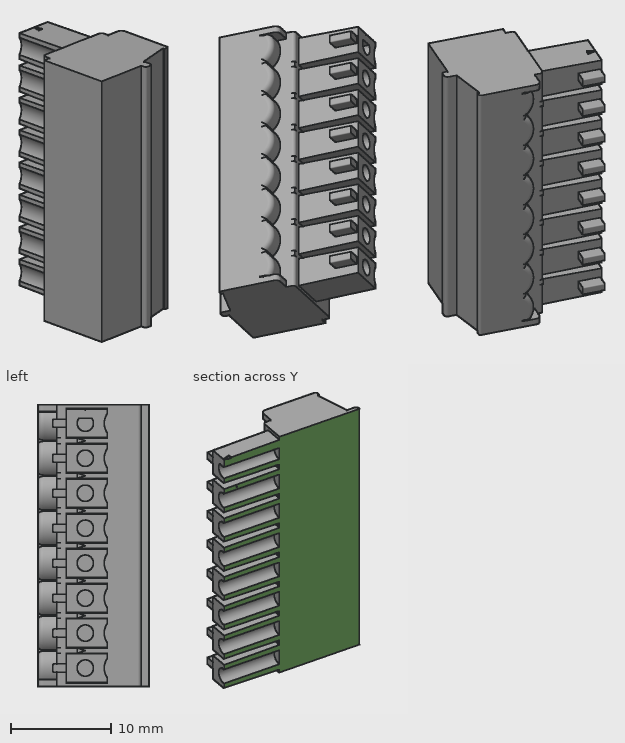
import cadquery as cq
import math

HEIGHT = 28.2
DEPTH = 11.1
FACE_X = 6.57
SHOULDER_X = 7.5
BACK_X = 15.48
LEDGE_X = 16.1
LEDGE_LOW_Y = 5.7
LEDGE_HIGH_Y = 6.68
SLOPE_START_X = 14.9
SLOPE_END_X = 13.87
HOOK_X = 14.07
HOOK_Y = 10.52
STEP_LOW_Y = 0.8
STEP_HIGH_Y = 9.22
FACE_EDGE_RADIUS = 0.35
LEDGE_HIGH_RADIUS = 0.37
LEDGE_LOW_RADIUS = 0.25
HOOK_RADIUS = 0.23
CREST_RADIUS = 0.54

POLE_COUNT = 8
PITCH = 3.5
POLE_CENTERS = [HEIGHT / 2 + (i - (POLE_COUNT - 1) / 2) * PITCH for i in range(POLE_COUNT)]
GAP_CENTERS = [z + PITCH / 2 for z in POLE_CENTERS[:-1]]
GAP_WIDTH = 0.55

END_WALL = 0.68
END_GAP = 0.08
HUMP_SETBACK = 0.65
HUMP_RADIUS = 2.12
HUMP_WIDTH = 3.35
HUMP_X = SHOULDER_X + HUMP_SETBACK
HUMP_AXIS_X = HUMP_X + HUMP_RADIUS
FLOOR_X = HUMP_AXIS_X - math.sqrt(HUMP_RADIUS**2 - (HUMP_WIDTH / 2) ** 2)

PLUG_LOW_Y = 4.2
PLUG_HIGH_Y = 8.3
PLUG_TIP_HEIGHT = 2.82
PLUG_ROOT_HEIGHT = 3.0
GROOVE_WIDTH = 1.85
GROOVE_DEPTH = 0.28
BORE_DIAMETER = 1.64
BORE_Y = 6.37
BORE_DEPTH = FACE_X
BORE_FLAT = 0.48

RIB_START_X = 0.17
RIB_END_X = 2.5
RIB_HIGH_Y = 9.62
RIB_WIDTH = 0.82
RIB_EDGE_RADIUS = 0.1

MARK_LENGTH = 0.8
MARK_WIDTH = 0.5
MARK_DEPTH = 0.08
MARK_TIP_X = 0.05


def box(x0, x1, y0, y1, z0, z1):
    return cq.Workplane("XY").box(x1 - x0, y1 - y0, z1 - z0, centered=False).translate((x0, y0, z0))


def fillet_edge_at(body, x, y, radius):
    """Round the full-height edge that stands at (x, y)."""
    return body.edges(cq.selectors.NearestToPointSelector((x, y, HEIGHT / 2))).fillet(radius)


def make_housing():
    outline = [
        (SHOULDER_X, 0),
        (BACK_X, 0),
        (BACK_X, LEDGE_LOW_Y),
        (LEDGE_X, LEDGE_LOW_Y),
        (LEDGE_X, LEDGE_HIGH_Y),
        (SLOPE_START_X, LEDGE_HIGH_Y),
        (SLOPE_END_X, HOOK_Y),
        (HOOK_X, HOOK_Y),
        (HOOK_X, DEPTH),
        (SHOULDER_X, DEPTH),
        (SHOULDER_X, STEP_HIGH_Y),
        (FACE_X, STEP_HIGH_Y),
        (FACE_X, STEP_LOW_Y),
        (SHOULDER_X, STEP_LOW_Y),
    ]
    body = cq.Workplane("XY").polyline(outline).close().extrude(HEIGHT)
    rounded_edges = [
        (FACE_X, STEP_LOW_Y, FACE_EDGE_RADIUS),
        (FACE_X, STEP_HIGH_Y, FACE_EDGE_RADIUS),
        (LEDGE_X, LEDGE_LOW_Y, LEDGE_LOW_RADIUS),
        (LEDGE_X, LEDGE_HIGH_Y, LEDGE_HIGH_RADIUS),
        (HOOK_X, DEPTH, HOOK_RADIUS),
        (SHOULDER_X, DEPTH, CREST_RADIUS),
    ]
    for x, y, radius in rounded_edges:
        body = fillet_edge_at(body, x, y, radius)
    for z in GAP_CENTERS:
        low_y = STEP_HIGH_Y - FACE_EDGE_RADIUS
        body = body.union(box(FACE_X, SHOULDER_X, low_y, STEP_HIGH_Y, z - GAP_WIDTH / 2, z + GAP_WIDTH / 2))
    return body


def make_hump_recess():
    """Space between the end walls, in front of the floor and its rounded +Y edge."""
    inner_low = END_WALL
    inner_high = HEIGHT - END_WALL
    recess = box(SHOULDER_X, FLOOR_X + CREST_RADIUS, STEP_HIGH_Y, DEPTH, inner_low, inner_high)
    floor = box(FLOOR_X, HOOK_X, STEP_HIGH_Y, DEPTH, inner_low, inner_high)
    floor = floor.edges("|Z and <X and >Y").fillet(CREST_RADIUS)
    return recess.cut(floor)


def make_hump(z):
    hump = (
        cq.Workplane("XZ", origin=(HUMP_AXIS_X, STEP_HIGH_Y, z))
        .circle(HUMP_RADIUS)
        .extrude(STEP_HIGH_Y - DEPTH)
        .faces(">Y")
        .edges()
        .fillet(CREST_RADIUS)
    )
    end_margin = END_WALL + END_GAP
    low = max(z - HUMP_WIDTH / 2, end_margin)
    high = min(z + HUMP_WIDTH / 2, HEIGHT - end_margin)
    return hump.intersect(box(HUMP_X, HUMP_AXIS_X, STEP_HIGH_Y, DEPTH, low, high))


def make_plug(z):
    middle_y = (PLUG_LOW_Y + PLUG_HIGH_Y) / 2
    width = PLUG_HIGH_Y - PLUG_LOW_Y
    plug = (
        cq.Workplane("YZ", origin=(0, middle_y, z))
        .rect(width, PLUG_TIP_HEIGHT)
        .workplane(offset=FACE_X)
        .rect(width, PLUG_ROOT_HEIGHT)
        .loft(ruled=True)
    )
    groove = (
        cq.Workplane("YZ", origin=(0, PLUG_LOW_Y, z))
        .moveTo(0, -GROOVE_WIDTH / 2)
        .threePointArc((GROOVE_DEPTH, 0), (0, GROOVE_WIDTH / 2))
        .close()
        .extrude(FACE_X)
    )
    rib = box(RIB_START_X, RIB_END_X, PLUG_HIGH_Y, RIB_HIGH_Y, z - RIB_WIDTH / 2, z + RIB_WIDTH / 2)
    rib = rib.edges("|X and >Y").fillet(RIB_EDGE_RADIUS)
    return plug.cut(groove).union(rib)


def make_bore(z):
    return cq.Workplane("YZ", origin=(0, BORE_Y, z)).circle(BORE_DIAMETER / 2).extrude(BORE_DEPTH)


def make_top_bore(z):
    """Bore of the uppermost pole, flattened on its upper side."""
    radius = BORE_DIAMETER / 2
    keep = box(0, BORE_DEPTH, BORE_Y - radius, BORE_Y + radius, z - radius, z + BORE_FLAT)
    return make_bore(z).intersect(keep)


def make_face_mark(z):
    """Triangle in the plug face, pointing toward -Y at the level of the bores."""
    base_y = BORE_Y + MARK_LENGTH
    corners = [(BORE_Y, z), (base_y, z - MARK_WIDTH / 2), (base_y, z + MARK_WIDTH / 2)]
    return cq.Workplane("YZ", origin=(FACE_X, 0, 0)).polyline(corners).close().extrude(MARK_DEPTH)


def make_plug_mark():
    """Triangle in the upper side of the uppermost plug, pointing toward its tip."""
    base_x = MARK_TIP_X + MARK_LENGTH
    tip_top = POLE_CENTERS[-1] + PLUG_TIP_HEIGHT / 2
    corners = [(MARK_TIP_X, BORE_Y), (base_x, BORE_Y - MARK_WIDTH / 2), (base_x, BORE_Y + MARK_WIDTH / 2)]
    blank = cq.Workplane("XY", origin=(0, 0, tip_top - MARK_DEPTH)).polyline(corners).close()
    return blank.extrude(PLUG_ROOT_HEIGHT - PLUG_TIP_HEIGHT + MARK_DEPTH)


result = make_housing().cut(make_hump_recess())
for pole_z in POLE_CENTERS:
    result = result.union(make_hump(pole_z)).union(make_plug(pole_z))
for pole_z in POLE_CENTERS[:-1]:
    result = result.cut(make_bore(pole_z))
result = result.cut(make_top_bore(POLE_CENTERS[-1]))
for gap_z in GAP_CENTERS:
    result = result.cut(make_face_mark(gap_z))
result = result.cut(make_plug_mark())